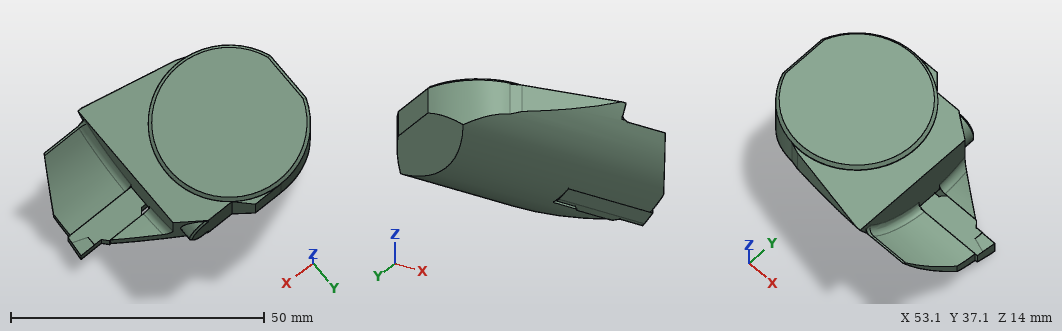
import cadquery as cq
import math


left_flat_x = -15.05
overall_length = 53.1
tip_x = left_flat_x + overall_length

disc_radius = 16.05
disc_top = 13.8
disc_chamfer = 0.7

plate_top = 12.95
plate_end_x = 21.5
plate_low_y = -21.0
underside_radius = math.hypot(plate_low_y, plate_top) ** 2 / (2 * plate_top)
bevel_height = 7.6

neck_start_x = -2.3
neck_end = (0, -16.7)
low_corner_x = 20.5
shelf_end = (31.6, -19.3)
nose_x = 37.1
nose_low_y = -9.5
diagonal_start_x = 15.8
rear_y = 12.7
rear_step_x = 9.75
rear_tab_x = 6.55

boss_radius = 4.0
boss_end_x = 20.3
boss_center_z = 8.35
boss_length = 7.2
boss_chamfer = 0.4

insert_front_y = -4.4
insert_back_y = 1.4
insert_left_x = 18.2
insert_bottom = -0.2
insert_top = 2.8
keel_y = -0.75
keel_rise = 0.65
insert_end_y = 0.15
notch_left_x = 22.55
notch_right_x = 32.85
notch_run = 1.05
tip_taper = 0.35
facet_start_x = 34.6
facet_start_y = -1.85
facet_run_x = 5.9
facet_run_y = -2.1
facet_drop = -0.3

trough_center_y = (insert_front_y + insert_back_y) / 2
trough_bottom = 2.7
trough_radius = 24.1
trough_fillet = 1.6
shelf_z = 9.95
clearance_top = 4.8
margin = 5.3


def make_outline():
    """Plan shape of the plate and nose, without the disc."""
    neck_start = (neck_start_x, -math.sqrt(disc_radius**2 - neck_start_x**2))
    points = [
        (0, disc_radius),
        (0, 0),
        neck_start,
        neck_end,
        (low_corner_x, plate_low_y),
        (plate_end_x, plate_low_y),
        (plate_end_x, shelf_end[1]),
        shelf_end,
        (nose_x, nose_low_y),
        (nose_x, insert_front_y),
        (shelf_end[0], insert_back_y),
        (diagonal_start_x, rear_y),
        (rear_step_x, rear_y),
        (rear_tab_x, disc_radius),
    ]
    return cq.Workplane("XY").polyline(points).close().extrude(plate_top)


def make_disc():
    """Disc with a flat on its left side and a chamfered top rim."""
    disc = cq.Workplane("XY").circle(disc_radius).extrude(disc_top)
    keep = cq.Workplane("XY").box(
        disc_radius - left_flat_x, 2 * disc_radius, disc_top, centered=(False, True, False)
    ).translate((left_flat_x, 0, 0))
    return disc.intersect(keep).faces(">Z").edges().chamfer(disc_chamfer)


def make_boss():
    """Round boss along Y that stands out of the rear edge."""
    boss = (
        cq.Workplane("XZ", origin=(boss_end_x - boss_radius, rear_y, boss_center_z))
        .circle(boss_radius)
        .extrude(boss_length)
    )
    return boss.faces(">Y").chamfer(boss_chamfer)


def make_underside():
    """Round bar that shapes the bottom of the holder."""
    return (
        cq.Workplane("YZ", origin=(left_flat_x, 0, underside_radius))
        .circle(underside_radius)
        .extrude(overall_length)
    )


def make_left_bevel():
    """Wedge below the 45 degree bevel on the left."""
    return (
        cq.Workplane("XZ")
        .polyline([
            (left_flat_x, bevel_height),
            (left_flat_x + bevel_height, 0),
            (left_flat_x, 0),
        ])
        .close()
        .extrude(disc_radius, both=True)
    )


def make_trough():
    """Space above the nose: a concave floor, a narrow shelf and a filleted root."""
    half_width = math.sqrt(trough_radius**2 - (trough_radius + trough_bottom - shelf_z) ** 2)
    low_y = trough_center_y - half_width
    high_y = trough_center_y + half_width
    outer_y = plate_low_y - margin
    top = plate_top + margin
    return (
        cq.Workplane("YZ", origin=(plate_end_x, 0, 0))
        .moveTo(outer_y, shelf_z)
        .lineTo(low_y, shelf_z)
        .threePointArc((trough_center_y, trough_bottom), (high_y, shelf_z))
        .lineTo(high_y, top)
        .lineTo(outer_y, top)
        .close()
        .extrude(tip_x + margin - plate_end_x)
        .faces("<X")
        .edges(cq.selectors.BoxSelector(
            (plate_end_x - 0.55, outer_y - 0.55, 0), (plate_end_x + 0.55, high_y, shelf_z + 0.55)
        ))
        .fillet(trough_fillet)
    )


def make_slot(start_x, top):
    """Straight slot along X as wide as the insert, open at the bottom."""
    return cq.Workplane("XY").box(
        tip_x + margin - start_x,
        insert_back_y - insert_front_y,
        top + margin,
        centered=False,
    ).translate((start_x, insert_front_y, -margin))


def make_holder():
    """Disc, plate and nose in one piece, with the slot for the insert."""
    body = make_outline().union(make_disc()).union(make_boss())
    body = body.intersect(make_underside()).cut(make_left_bevel())
    body = body.cut(make_trough())
    body = body.cut(make_slot(insert_left_x, insert_top))
    return body.cut(make_slot(plate_end_x, clearance_top))


def make_tip_facet():
    """Wedge removed from the insert top, sloping down to the rear corner of the tip."""
    plane = cq.Plane(
        origin=(facet_start_x, facet_start_y, insert_top),
        xDir=(-facet_run_y, facet_run_x, 0),
        normal=(facet_run_x, facet_run_y, 0),
    )
    wedge = (
        cq.Workplane(plane)
        .polyline([(0, 0), (margin, 0), (margin, facet_drop)])
        .close()
        .extrude(margin, both=True)
    )
    side_limit = cq.Workplane("XY").box(
        2 * margin, 2 * margin, 2 * margin, centered=(False, True, True)
    ).translate((facet_start_x, 0, insert_top))
    return wedge.intersect(side_limit)


def make_keel_slope():
    """Wedge removed below the sloping front part of the insert underside."""
    return (
        cq.Workplane("YZ", origin=(insert_left_x, 0, insert_bottom))
        .polyline([(keel_y, 0), (insert_front_y, keel_rise), (insert_front_y, 0)])
        .close()
        .extrude(tip_x - insert_left_x)
    )


def make_insert():
    """Bar-shaped cutting insert with a stepped back and a tapered end face."""
    outline = [
        (insert_left_x, insert_front_y),
        (tip_x - tip_taper, insert_front_y),
        (tip_x, insert_end_y),
        (notch_right_x, insert_end_y),
        (notch_right_x - notch_run, insert_back_y),
        (notch_left_x + notch_run, insert_back_y),
        (notch_left_x, insert_end_y),
        (insert_left_x, insert_end_y),
    ]
    blade = (
        cq.Workplane("XY", origin=(0, 0, insert_bottom))
        .polyline(outline)
        .close()
        .extrude(insert_top - insert_bottom)
    )
    return blade.cut(make_tip_facet()).cut(make_keel_slope())


holder = make_holder()
insert = make_insert()
result = cq.Compound.makeCompound([holder.val(), insert.val()])